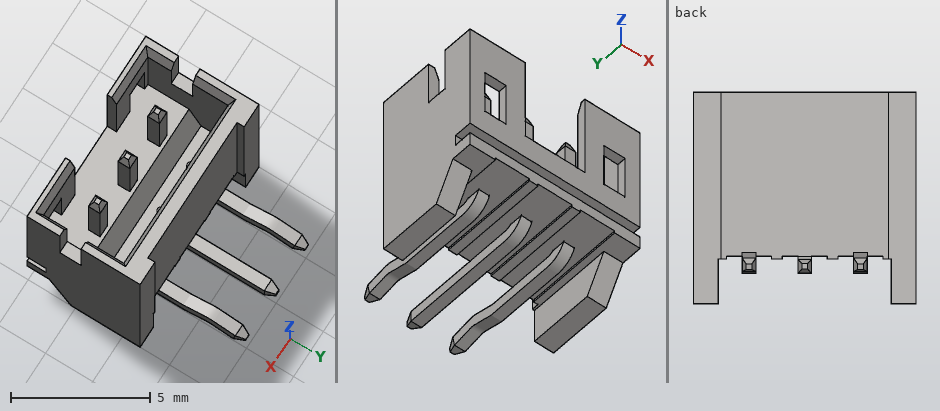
import cadquery as cq
import math

PITCH = 2.0
PIN_COUNT = 3

WIDTH = 8.0
DEPTH = 4.8
HEIGHT = 7.6

SIDE_WALL = 0.495
FRONT_WALL = 0.4
BACK_WALL = 1.005
CAVITY_WIDTH = WIDTH - 2 * SIDE_WALL
CAVITY_BACK = DEPTH - BACK_WALL
FLOOR_Z = 3.8
RIM_CHAMFER_WIDTH = 0.2
RIM_CHAMFER_HEIGHT = 0.5
DEEP_FLOOR_Z = 2.65
DEEP_SLOPE_FRONT = 2.15
DEEP_SLOPE_BACK = 2.66

NOTCH_WIDTH = 2.8
SIDE_SLOT_FRONT = 1.39
SIDE_SLOT_WIDTH = 0.91
SIDE_SLOT_DEPTH = 1.99
WINDOW_WIDTH = 1.0
WINDOW_HEIGHT = 2.0
WINDOW_SPACING = 5.6
GROOVE_DEPTH = 0.8
GROOVE_HEIGHT = 0.495
GROOVE_Z = 2.2

LEG_WIDTH = 0.9
LEG_HEIGHT = 1.6
LEG_SLOPE_TOP_Y = 0.95
LEG_SLOPE_ANGLE = 30
CHANNEL_WIDTH = 1.6
CHANNEL_DEPTH = 0.1
BACK_RIB_WIDTH = 1.0
BACK_RECESS_DEPTH = 0.3

GUIDE_RADIUS = 0.145
GUIDE_TOP_Z = 6.63

PIN_SIZE = 0.5
PIN_Y = 1.75
PIN_TOP_Z = 7.0
TIP_LENGTH = 0.4
TIP_SIZE = 0.2
TAIL_AXIS_Z = 1.345
TAIL_END_Y = 8.1
BEND_RADIUS = 0.75

KINK_START_Y = 5.58
KINK_CREST_Y = 6.64
KINK_RISE_ANGLE = 14
KINK_FALL_ANGLE = 10.5
KINK_RADIUS = 0.75

PIN_XS = [(i - (PIN_COUNT - 1) / 2) * PITCH for i in range(PIN_COUNT)]
GUIDE_XS = [(left + right) / 2 for left, right in zip(PIN_XS, PIN_XS[1:])]


def block(x_size, y_front, y_back, z_bottom, z_top, x_center=0):
    """Box centred on x_center in X, between the given Y and Z limits."""
    return (
        cq.Workplane("XY", origin=(x_center, (y_front + y_back) / 2, z_bottom))
        .rect(x_size, y_back - y_front)
        .extrude(z_top - z_bottom)
    )


def prism_along_x(outline, x_size):
    """Prism of the given length, centred on X = 0, from a (Y, Z) outline."""
    return cq.Workplane("YZ").polyline(outline).close().extrude(x_size / 2, both=True)


def make_cavity():
    """Rectangular cavity with a chamfered rim and a deeper floor behind the pins."""
    main = block(CAVITY_WIDTH, FRONT_WALL, CAVITY_BACK, FLOOR_Z, HEIGHT)
    cavity_depth = CAVITY_BACK - FRONT_WALL
    rim = (
        cq.Workplane("XY", origin=(0, FRONT_WALL + cavity_depth / 2, HEIGHT - RIM_CHAMFER_HEIGHT))
        .rect(CAVITY_WIDTH, cavity_depth)
        .workplane(offset=RIM_CHAMFER_HEIGHT)
        .rect(CAVITY_WIDTH + 2 * RIM_CHAMFER_WIDTH, cavity_depth + 2 * RIM_CHAMFER_WIDTH)
        .loft(ruled=True)
    )
    deep_floor = prism_along_x(
        [
            (DEEP_SLOPE_FRONT, FLOOR_Z),
            (DEEP_SLOPE_BACK, DEEP_FLOOR_Z),
            (CAVITY_BACK, DEEP_FLOOR_Z),
            (CAVITY_BACK, FLOOR_Z),
        ],
        CAVITY_WIDTH,
    )
    return main.union(rim).union(deep_floor)


def make_wall_openings():
    """Front notch, two front windows, a slot in both side walls and the groove across the front."""
    openings = block(NOTCH_WIDTH, 0, FRONT_WALL, FLOOR_Z, HEIGHT)
    for side in (-1, 1):
        window_x = side * WINDOW_SPACING / 2
        openings = openings.union(
            block(WINDOW_WIDTH, 0, FRONT_WALL, FLOOR_Z, FLOOR_Z + WINDOW_HEIGHT, window_x)
        )
    side_slots = block(
        WIDTH, SIDE_SLOT_FRONT, SIDE_SLOT_FRONT + SIDE_SLOT_WIDTH, HEIGHT - SIDE_SLOT_DEPTH, HEIGHT
    )
    groove = block(WIDTH, 0, GROOVE_DEPTH, GROOVE_Z, GROOVE_Z + GROOVE_HEIGHT)
    return openings.union(side_slots).union(groove)


def make_underside_relief():
    """Space in front of and between the legs, with a shallow channel over each pin tail."""
    slope_run = LEG_HEIGHT * math.tan(math.radians(LEG_SLOPE_ANGLE))
    relief = prism_along_x(
        [(0, 0), (0, LEG_HEIGHT), (LEG_SLOPE_TOP_Y, LEG_HEIGHT), (LEG_SLOPE_TOP_Y + slope_run, 0)],
        WIDTH,
    )
    relief = relief.union(block(WIDTH - 2 * LEG_WIDTH, 0, DEPTH, 0, LEG_HEIGHT))
    for x in PIN_XS:
        relief = relief.union(block(CHANNEL_WIDTH, 0, DEPTH, 0, LEG_HEIGHT + CHANNEL_DEPTH, x))
    return relief


def make_guide_ribs():
    """Half-round ribs standing on the deep floor against the back wall, midway between the pins."""
    return (
        cq.Workplane("XY", origin=(0, CAVITY_BACK, DEEP_FLOOR_Z))
        .pushPoints([(x, 0) for x in GUIDE_XS])
        .circle(GUIDE_RADIUS)
        .extrude(GUIDE_TOP_Z - DEEP_FLOOR_Z)
    )


def make_housing(pins):
    """Housing with a matching hole for each pin."""
    housing = block(WIDTH, 0, DEPTH, 0, HEIGHT)
    housing = housing.cut(make_cavity())
    housing = housing.cut(make_wall_openings())
    housing = housing.cut(make_underside_relief())
    housing = housing.cut(
        block(WIDTH - 2 * BACK_RIB_WIDTH, DEPTH - BACK_RECESS_DEPTH, DEPTH, 0, HEIGHT)
    )
    housing = housing.union(make_guide_ribs())
    for pin in pins:
        housing = housing.cut(pin)
    return housing


def make_tip(base_center, direction):
    """Square pyramid frustum that narrows from the pin section along the given direction."""
    base = cq.Plane(origin=base_center, xDir=(1, 0, 0), normal=direction)
    return (
        cq.Workplane(base)
        .rect(PIN_SIZE, PIN_SIZE)
        .workplane(offset=TIP_LENGTH)
        .rect(TIP_SIZE, TIP_SIZE)
        .loft(ruled=True)
    )


def bend_path(path):
    """Vertical pin axis down from the upper shoulder, bent to run along +Y at the tail height."""
    corner = math.sqrt(0.5) * BEND_RADIUS
    bend_z = TAIL_AXIS_Z + BEND_RADIUS
    bend_y = PIN_Y + BEND_RADIUS
    return (
        path.moveTo(PIN_Y, PIN_TOP_Z - TIP_LENGTH)
        .lineTo(PIN_Y, bend_z)
        .threePointArc((bend_y - corner, bend_z - corner), (bend_y, TAIL_AXIS_Z))
    )


def make_pin(x, kinked):
    """Square pin with both ends tapered; a kinked tail rises to a rounded crest and falls again."""
    path = bend_path(cq.Workplane("YZ", origin=(x, 0, 0)))
    if kinked:
        rise = math.radians(KINK_RISE_ANGLE)
        fall = math.radians(KINK_FALL_ANGLE)
        arc_start_y = KINK_CREST_Y - KINK_RADIUS * math.sin(rise)
        arc_start_z = TAIL_AXIS_Z + (arc_start_y - KINK_START_Y) * math.tan(rise)
        crest_z = arc_start_z + KINK_RADIUS * (1 - math.cos(rise))
        arc_end_y = KINK_CREST_Y + KINK_RADIUS * math.sin(fall)
        arc_end_z = crest_z - KINK_RADIUS * (1 - math.cos(fall))
        tip_reach = TIP_LENGTH * math.cos(fall) + TIP_SIZE / 2 * math.sin(fall)
        shoulder_y = TAIL_END_Y - tip_reach
        shoulder_z = arc_end_z - (shoulder_y - arc_end_y) * math.tan(fall)
        path = (
            path.lineTo(KINK_START_Y, TAIL_AXIS_Z)
            .lineTo(arc_start_y, arc_start_z)
            .threePointArc((KINK_CREST_Y, crest_z), (arc_end_y, arc_end_z))
            .lineTo(shoulder_y, shoulder_z)
        )
        tail_direction = (0, math.cos(fall), -math.sin(fall))
    else:
        shoulder_y = TAIL_END_Y - TIP_LENGTH
        shoulder_z = TAIL_AXIS_Z
        path = path.lineTo(shoulder_y, shoulder_z)
        tail_direction = (0, 1, 0)

    upper_shoulder = (x, PIN_Y, PIN_TOP_Z - TIP_LENGTH)
    shaft = (
        cq.Workplane("XY", origin=upper_shoulder)
        .rect(PIN_SIZE, PIN_SIZE)
        .sweep(path, transition="right")
    )
    upper_tip = make_tip(upper_shoulder, (0, 0, 1))
    tail_tip = make_tip((x, shoulder_y, shoulder_z), tail_direction)
    return shaft.union(upper_tip).union(tail_tip)


outer_xs = (PIN_XS[0], PIN_XS[-1])
pins = [make_pin(x, kinked=x in outer_xs) for x in PIN_XS]
housing = make_housing(pins)

result = cq.Compound.makeCompound([housing.val(), *[pin.val() for pin in pins]])